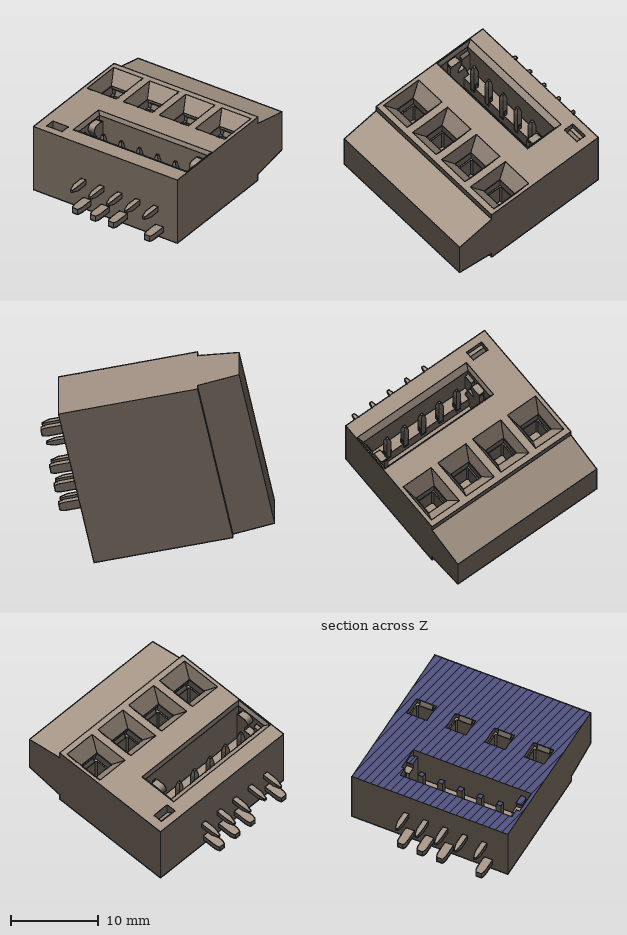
import cadquery as cq
import math

total_length = 23.6
width = 20.0
height = 8.6
pin_length = 2.5
body_length = total_length - pin_length
block_length = 16.24
pitch = 2.5

nose_root_bottom = 0.8
nose_root_top = 7.72
nose_end_bottom = 1.58
nose_end_top = 6.73

well_count = 4
well_y = 12.85
well_mouth_x = 4.04
well_mouth_y = 5.3
well_base_x = 2.67
well_base_y = 2.38
funnel_depth = 1.49
throat_x = 2.55
throat_depth = 1.1
shaft_size = 2.2
shaft_corner = 0.2
shaft_depth = 2.83
shaft_y = 12.8

clamp_recess_drop = 0.38
clamp_recess_reach = 0.15
clamp_pad_width = 1.65
clamp_pad_front = 13.85
clamp_pad_rise = 0.7

signal_count = 5
signal_x = 2.0
socket_mouth_width = 15.7
socket_mouth_front = 2.0
socket_mouth_rear = 7.1
socket_width = 15.03
socket_front = 2.74
socket_rear = 6.85
socket_lead_depth = 0.47
step_y = 4.13
front_floor_z = 4.13
rear_floor_z = 2.35

hook_inner = 6.58
hook_outer = 7.45
hook_base_front = 3.92
hook_base_top = 6.02
hook_stem_front = 4.95
hook_rear = 6.14
hook_top = 8.1
hook_radius = 0.6
hook_barb_reach = 0.52
hook_barb_undercut = 30
hook_rear_step_y = 0.15
hook_rear_step_z = 0.07
hook_corner = 0.33
gusset_front = 3.35
gusset_width = 0.38

rib_width = 0.4
rib_top_outer = 7.39
rib_top_inner = 7.08

window_x = -7.75
window_width = 2.15
window_front = 0.97
window_ramp_front = 1.42
window_rear = 2.22
window_depth = 1.42
window_ramp_rise = 0.7

signal_size = 0.64
signal_z = 3.68
signal_tip = 0.92
signal_tip_size = 0.28
post_y = 3.92
post_top = 7.95
collar_width = 0.85
collar_front = 3.7
collar_height = 0.7

blade_x = [-pitch, 0, pitch, 3 * pitch]
blade_z = 1.15
blade_width = 1.09
blade_thickness = 0.7
blade_tip = 0.73
blade_tip_radius = 1.5


def box(x0, x1, y0, y1, z0, z1):
    return cq.Workplane("XY").box(x1 - x0, y1 - y0, z1 - z0, centered=False).translate((x0, y0, z0))


def extrude_side_profile(points, x0, x1):
    """Extrude a closed (Y, Z) polygon from x0 to x1."""
    return cq.Workplane("YZ").workplane(offset=x0).polyline(points).close().extrude(x1 - x0)


def centred_row(count, spacing, middle=0.0):
    return [middle + (i - (count - 1) / 2) * spacing for i in range(count)]


def make_housing():
    outline = [
        (0, 0), (block_length, 0), (block_length, nose_root_bottom),
        (body_length, nose_end_bottom), (body_length, nose_end_top),
        (block_length, nose_root_top), (block_length, height), (0, height),
    ]
    return extrude_side_profile(outline, -width / 2, width / 2)


def screw_well(x):
    funnel = (
        cq.Workplane("XY", origin=(x, well_y, height))
        .rect(well_mouth_x, well_mouth_y)
        .workplane(offset=-funnel_depth)
        .rect(well_base_x, well_base_y)
        .loft(ruled=True)
    )

    base_z = height - funnel_depth
    ledge_z = base_z - throat_depth
    left = x - throat_x / 2
    right = x + throat_x / 2
    rear = well_y + well_base_y / 2
    throat = box(left, right, well_y - well_base_y / 2, rear, ledge_z, base_z)
    recess_rear = rear + clamp_recess_reach
    recess = box(left, right, well_y, recess_rear, ledge_z, base_z - clamp_recess_drop)
    pad = extrude_side_profile(
        [
            (clamp_pad_front, ledge_z),
            (recess_rear, ledge_z),
            (recess_rear, ledge_z + clamp_pad_rise),
        ],
        x - clamp_pad_width / 2,
        x + clamp_pad_width / 2,
    )
    shaft = (
        cq.Workplane("XY", origin=(x, shaft_y, ledge_z))
        .rect(shaft_size, shaft_size)
        .extrude(-shaft_depth)
        .edges("|Z")
        .chamfer(shaft_corner)
    )
    return funnel.union(throat).union(recess).cut(pad).union(shaft)


def socket():
    mouth_length = socket_mouth_rear - socket_mouth_front
    socket_length = socket_rear - socket_front
    socket_middle = (socket_front + socket_rear) / 2
    mouth_middle = (socket_mouth_front + socket_mouth_rear) / 2
    lead_in = (
        cq.Workplane("XY", origin=(signal_x, mouth_middle, height))
        .rect(socket_mouth_width, mouth_length)
        .workplane(offset=-socket_lead_depth)
        .center(0, socket_middle - mouth_middle)
        .rect(socket_width, socket_length)
        .loft(ruled=True)
    )
    left = signal_x - socket_width / 2
    right = signal_x + socket_width / 2
    lead_z = height - socket_lead_depth
    front_part = box(left, right, socket_front, step_y, front_floor_z, lead_z)
    rear_part = box(left, right, step_y, socket_rear, rear_floor_z, lead_z)
    return lead_in.union(front_part).union(rear_part)


def window():
    bottom = height - window_depth
    ramp_top = bottom + window_ramp_rise
    outline = [
        (window_front, height), (window_front, ramp_top), (window_ramp_front, ramp_top),
        (window_rear, bottom), (window_rear, height),
    ]
    return extrude_side_profile(outline, window_x - window_width / 2, window_x + window_width / 2)


def right_latch():
    """Hook, gusset and guide rib at the +X end, drawn about the socket centre plane."""
    barb_front = hook_stem_front - hook_barb_reach
    arc_y = barb_front + hook_radius
    arc_z = hook_top - hook_radius
    undercut = math.radians(hook_barb_undercut)
    arc_end_y = arc_y - hook_radius * math.cos(undercut)
    arc_end_z = arc_z - hook_radius * math.sin(undercut)
    barb_bottom = arc_end_z - (hook_stem_front - arc_end_y) / math.tan(undercut)
    hook = (
        cq.Workplane("YZ")
        .workplane(offset=hook_inner)
        .moveTo(hook_stem_front, rear_floor_z)
        .lineTo(hook_stem_front, barb_bottom)
        .lineTo(arc_end_y, arc_end_z)
        .threePointArc((barb_front, arc_z), (arc_y, hook_top))
        .lineTo(hook_rear - hook_rear_step_y, hook_top)
        .lineTo(hook_rear - hook_rear_step_y, hook_top - hook_rear_step_z)
        .lineTo(hook_rear, hook_top - hook_rear_step_z)
        .lineTo(hook_rear, rear_floor_z)
        .close()
        .extrude(hook_outer - hook_inner)
    )
    corner = (
        cq.Workplane("XY", origin=(0, 0, rear_floor_z))
        .moveTo(hook_outer - hook_corner, hook_rear)
        .lineTo(hook_outer, hook_rear)
        .lineTo(hook_outer, hook_rear - hook_corner)
        .close()
        .extrude(hook_top - rear_floor_z)
    )
    base = box(hook_inner, hook_outer, hook_base_front, hook_stem_front, rear_floor_z, hook_base_top)
    gusset = extrude_side_profile(
        [
            (gusset_front, front_floor_z),
            (hook_base_front, front_floor_z),
            (hook_base_front, hook_base_top),
        ],
        hook_inner,
        hook_inner + gusset_width,
    )
    wall = socket_width / 2
    rib = (
        cq.Workplane("XZ", origin=(0, socket_front, 0))
        .moveTo(wall, front_floor_z)
        .lineTo(wall, rib_top_outer)
        .lineTo(wall - rib_width, rib_top_inner)
        .lineTo(wall - rib_width, front_floor_z)
        .close()
        .extrude(socket_front - hook_base_front)
    )
    return hook.cut(corner).union(base).union(gusset).union(rib)


def tapered_tip(plane, origin):
    return (
        cq.Workplane(plane, origin=origin)
        .rect(signal_size, signal_size)
        .workplane(offset=signal_tip)
        .rect(signal_tip_size, signal_tip_size)
        .loft(ruled=True)
    )


def signal_pin(x):
    half = signal_size / 2
    tail_start = signal_tip - pin_length
    post_end = post_top - signal_tip
    tail = box(x - half, x + half, tail_start, post_y + half, signal_z - half, signal_z + half)
    post = box(x - half, x + half, post_y - half, post_y + half, signal_z - half, post_end)
    collar = box(
        x - collar_width / 2, x + collar_width / 2, collar_front, step_y,
        signal_z, front_floor_z + collar_height,
    )
    tail_point = tapered_tip("XZ", (x, tail_start, signal_z))
    post_point = tapered_tip("XY", (x, post_y, post_end))
    return tail.union(post).union(collar).union(tail_point).union(post_point)


def blade_pin(x):
    half = blade_width / 2
    shoulder = blade_tip - pin_length

    def inset(distance):
        return blade_tip_radius - math.sqrt(blade_tip_radius**2 - distance**2)

    tip_half = half - inset(blade_tip)
    mid_half = half - inset(blade_tip / 2)
    mid_y = shoulder - blade_tip / 2
    return (
        cq.Workplane("XY", origin=(x, 0, blade_z - blade_thickness / 2))
        .moveTo(-half, 0)
        .lineTo(-half, shoulder)
        .threePointArc((-mid_half, mid_y), (-tip_half, -pin_length))
        .lineTo(tip_half, -pin_length)
        .threePointArc((mid_half, mid_y), (half, shoulder))
        .lineTo(half, 0)
        .close()
        .extrude(blade_thickness)
    )


result = make_housing()

for well_x in centred_row(well_count, 2 * pitch):
    result = result.cut(screw_well(well_x))

result = result.cut(socket()).cut(window())

latch = right_latch()
for side_latch in (latch, latch.mirror("YZ")):
    result = result.union(side_latch.translate((signal_x, 0, 0)))

for pin_x in centred_row(signal_count, pitch, signal_x):
    result = result.union(signal_pin(pin_x))

for pin_x in blade_x:
    result = result.union(blade_pin(pin_x))